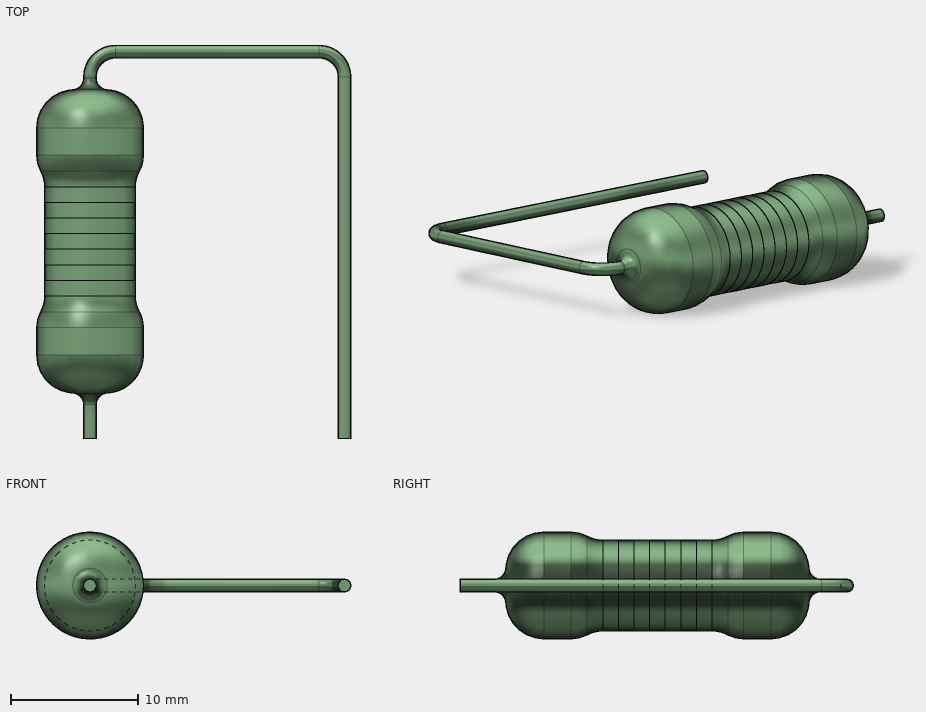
import cadquery as cq
import math


cap_diameter = 8.4
waist_diameter = 7.14
band_diameter = 7.16
body_length = 23.84
dome_radius = 3.0
cap_inner_end = 6.77
band_pitch = 1.225
band_segments = 7

lead_diameter = 1.0
lead_pitch = 20.0
lead_tip_reach = 15.5
crossing_y = 14.9
bend_radius = 2.0
collar_radius = 0.9

cap_radius = cap_diameter / 2
waist_radius = waist_diameter / 2
band_radius = band_diameter / 2
lead_radius = lead_diameter / 2
half_body = body_length / 2
waist_end = band_segments * band_pitch / 2
bend_start_y = crossing_y - bend_radius


def point_on_circle(center, radius, angle_degrees):
    """Point at the given angle on a circle in the XY plane."""
    angle = math.radians(angle_degrees)
    return (center[0] + radius * math.cos(angle), center[1] + radius * math.sin(angle))


def end_cap():
    """+Y end of the body, from under its last band: S-shaped shoulder, cap, dome and lead collar."""
    shoulder_middle = ((waist_radius + cap_radius) / 2, (waist_end + cap_inner_end) / 2)
    dome_center = (cap_radius - dome_radius, half_body - dome_radius)
    collar_offset = lead_radius + collar_radius - dome_center[0]
    tangent_angle = math.degrees(math.acos(collar_offset / (dome_radius + collar_radius)))
    collar_center = point_on_circle(dome_center, dome_radius + collar_radius, tangent_angle)
    dome_end = point_on_circle(dome_center, dome_radius, tangent_angle)
    dome_middle = point_on_circle(dome_center, dome_radius, tangent_angle / 2)
    collar_middle = point_on_circle(collar_center, collar_radius, 180 + tangent_angle / 2)
    profile = (
        cq.Workplane("XY")
        .moveTo(0, waist_end - band_pitch)
        .lineTo(waist_radius, waist_end - band_pitch)
        .lineTo(waist_radius, waist_end)
        .tangentArcPoint(shoulder_middle, relative=False)
        .tangentArcPoint((cap_radius, cap_inner_end), relative=False)
        .lineTo(cap_radius, dome_center[1])
        .threePointArc(dome_middle, dome_end)
        .threePointArc(collar_middle, (lead_radius, collar_center[1]))
        .lineTo(0, collar_center[1])
        .close()
    )
    return profile.revolve(360, (0, 0), (0, 1))


def rod_along_y(x, y_start, y_end, radius):
    """Round rod parallel to Y between two Y positions."""
    return cq.Workplane("XZ", origin=(x, y_start, 0)).circle(radius).extrude(y_start - y_end)


def color_bands():
    """Slightly raised rings on every second segment of the waist."""
    bands = cq.Workplane("XY")
    for index in range(0, band_segments, 2):
        band_start = index * band_pitch - waist_end
        bands = bands.add(rod_along_y(0, band_start, band_start + band_pitch, band_radius))
    return bands.combine()


def folded_lead():
    """Lead leaving the +Y end, bent across to the lead pitch and back toward -Y."""
    first_center = (bend_radius, bend_start_y)
    second_center = (lead_pitch - bend_radius, bend_start_y)
    path = (
        cq.Workplane("XY")
        .moveTo(0, half_body)
        .lineTo(0, bend_start_y)
        .threePointArc(point_on_circle(first_center, bend_radius, 135), (bend_radius, crossing_y))
        .lineTo(lead_pitch - bend_radius, crossing_y)
        .threePointArc(point_on_circle(second_center, bend_radius, 45), (lead_pitch, bend_start_y))
        .lineTo(lead_pitch, -lead_tip_reach)
    )
    return cq.Workplane("XZ", origin=(0, half_body, 0)).circle(lead_radius).sweep(path)


upper_cap = end_cap()
lower_cap = upper_cap.mirror("XZ")
waist = rod_along_y(0, -waist_end, waist_end, waist_radius)
straight_lead = rod_along_y(0, -lead_tip_reach, -half_body, lead_radius)

result = waist.union(color_bands()).union(upper_cap).union(lower_cap)
result = result.union(straight_lead).union(folded_lead())